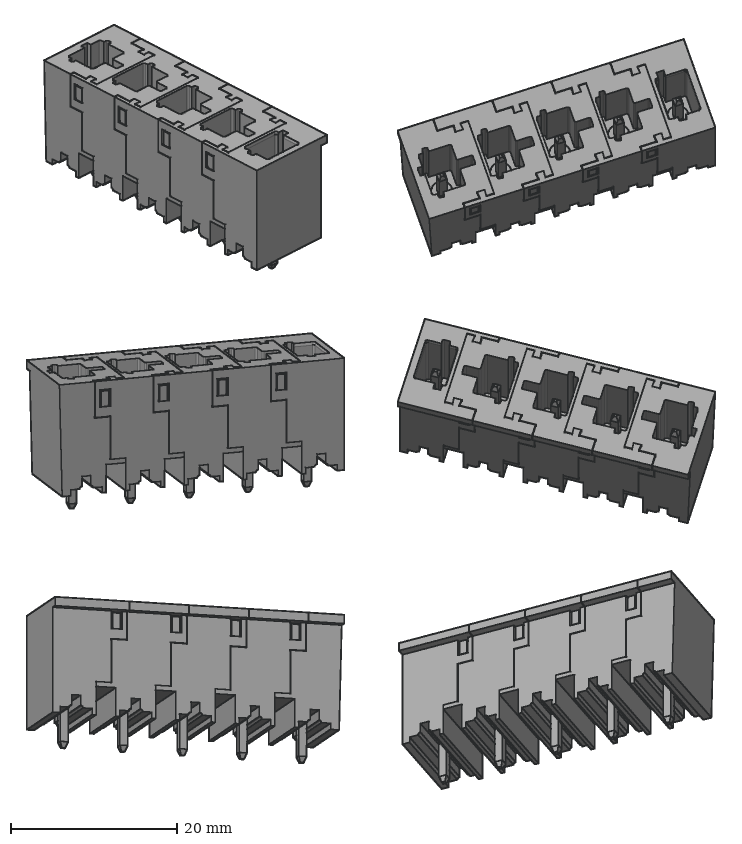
import cadquery as cq


POLES = 5
PITCH = 7.5
ROW_LENGTH = 36.4

HEIGHT = 14.0
HALF_DEPTH = 5.45
LIP_REACH = 1.0
LIP_BOTTOM = 12.9
BODY_LEFT = -2.5
BODY_RIGHT = BODY_LEFT + PITCH
LEG_RIGHT = 2.5
LEG_TOP = 3.5
END_LEFT_TOP = -3.45
END_LEFT_BOTTOM = -3.1
END_RIGHT = ROW_LENGTH + END_LEFT_TOP - (POLES - 1) * PITCH

FOOT_INNER = 2.0
FOOT_HEIGHT = 0.75
PIN_SLOT_WIDTH = 1.1
PIN_SLOT_TOP = 2.3
PIN_SLOT_ROUND = 0.3

FLAP_UPPER_LEFT = 1.12
FLAP_LOWER_LEFT = 3.1
FLAP_STEP = 9.5
FLAP_BOTTOM = 4.1
FLAP_INNER = 4.92
FLAP_GAP = 0.07
TAB_LEFT = 3.2
TAB_RIGHT = 4.0
TAB_FLARE = 0.08
TAB_INNER = 4.05

WINDOW_LEFT = 1.72
WINDOW_RIGHT = 3.08
WINDOW_BOTTOM = 10.75
NUB_SIDE_GAP = 0.2
NUB_TOP_GAP = 0.2
NUB_FACE = 5.36

FLOOR = 4.5
POCKET_HALF_WIDTH = 2.1
POCKET_HALF_DEPTH = 2.73
POCKET_ROUND = 0.25
KEY_ROUND = 0.2
KEY_REACH = 3.3
KEY_LEFT = -1.45
KEY_RIGHT = -0.75
SIDE_KEY_END = 4.1
SIDE_KEY_HALF_WIDTH = 0.6
FIRST_KEY_END = -2.7
FIRST_KEY_FRONT = 0.1
FIRST_KEY_BACK = 1.15
LAST_HALF_WIDTH = 2.04
LAST_BACK_KEY_LEFT = -1.55
LAST_BACK_KEY_RIGHT = -0.65
LAST_BACK_KEY_REACH = 3.45
LAST_FRONT_KEY_LEFT = -0.9
LAST_FRONT_KEY_RIGHT = 0.1
LEAD_IN_WIDTH = 0.1
LEAD_IN_DEPTH = 0.35
COLLAR_TOP = 6.0
COLLAR_BASE_RADIUS = 1.5
COLLAR_TOP_RADIUS = 1.3

PIN_WIDTH = 1.0
PIN_BOTTOM = -3.15
PIN_TOP = 12.1
PIN_FOOT_TIP_WIDTH = 0.45
PIN_HEAD_TIP_WIDTH = 0.35
PIN_TIP_LENGTH = 0.7


def box(x_min, x_max, y_min, y_max, z_min, z_max):
    size = (x_max - x_min, y_max - y_min, z_max - z_min)
    return cq.Workplane("XY").box(*size, centered=False).translate((x_min, y_min, z_min))


def extrude_across(profile, y_min, y_max):
    """Extrude a closed XZ outline from y_min to y_max."""
    return cq.Workplane("XZ", origin=(0, y_max, 0)).polyline(profile).close().extrude(y_max - y_min)


def both_sides(front):
    """A front feature together with its mirror image at the back."""
    return front.union(front.mirror("XZ"))


def shell(is_first, is_last):
    """Outer block with its legs and the lip along the top of the back face."""
    top_left, bottom_left = (END_LEFT_TOP, END_LEFT_BOTTOM) if is_first else (BODY_LEFT, BODY_LEFT)
    top_right, leg_right = (END_RIGHT, END_RIGHT) if is_last else (BODY_RIGHT, LEG_RIGHT)
    outline = [(bottom_left, 0), (leg_right, 0), (leg_right, LEG_TOP)]
    if not is_last:
        outline.append((top_right, LEG_TOP))
    outline += [(top_right, HEIGHT), (top_left, HEIGHT)]
    block = extrude_across(outline, -HALF_DEPTH, HALF_DEPTH + LIP_REACH)
    under_lip = box(END_LEFT_TOP, BODY_RIGHT, HALF_DEPTH, HALF_DEPTH + LIP_REACH, 0, LIP_BOTTOM)
    return block.cut(under_lip)


def underside_cut():
    """Recess between the feet and the round-mouthed slot that clears the pin."""
    y_end = HALF_DEPTH
    recess = box(-FOOT_INNER, FOOT_INNER, -y_end, y_end, 0, FOOT_HEIGHT)
    half_slot = PIN_SLOT_WIDTH / 2
    half_mouth = half_slot + PIN_SLOT_ROUND
    round_top = FOOT_HEIGHT + PIN_SLOT_ROUND
    slot = (
        cq.Workplane("XZ", origin=(0, y_end, 0))
        .moveTo(-half_mouth, FOOT_HEIGHT)
        .radiusArc((-half_slot, round_top), PIN_SLOT_ROUND)
        .lineTo(-half_slot, PIN_SLOT_TOP)
        .lineTo(half_slot, PIN_SLOT_TOP)
        .lineTo(half_slot, round_top)
        .radiusArc((half_mouth, FOOT_HEIGHT), PIN_SLOT_ROUND)
        .close()
        .extrude(2 * y_end)
    )
    return recess.union(slot)


def flap_pair(clearance):
    """Front and back flaps that lap over the previous housing, grown by a clearance for their seats."""
    upper_left = FLAP_UPPER_LEFT - clearance
    lower_left = FLAP_LOWER_LEFT - clearance
    step = FLAP_STEP - clearance
    inner = FLAP_INNER - clearance
    profile = [
        (upper_left, HEIGHT),
        (upper_left, step),
        (lower_left, step),
        (lower_left, FLAP_BOTTOM),
        (BODY_RIGHT, FLAP_BOTTOM),
        (BODY_RIGHT, HEIGHT),
    ]
    tab_outline = [
        (TAB_LEFT - clearance, -FLAP_INNER),
        (TAB_LEFT - TAB_FLARE - clearance, -TAB_INNER),
        (TAB_RIGHT + TAB_FLARE, -TAB_INNER),
        (TAB_RIGHT, -FLAP_INNER),
    ]
    tab = (
        cq.Workplane("XY", origin=(0, 0, FLAP_BOTTOM))
        .polyline(tab_outline)
        .close()
        .extrude(HEIGHT - FLAP_BOTTOM)
    )
    pair = both_sides(extrude_across(profile, -HALF_DEPTH, -inner).union(tab))
    lip_part = box(upper_left, BODY_RIGHT, HALF_DEPTH, HALF_DEPTH + LIP_REACH, LIP_BOTTOM, HEIGHT)
    return pair.union(lip_part)


def latch_windows():
    """Openings in the flaps, one at the front and one at the back."""
    return both_sides(box(WINDOW_LEFT, WINDOW_RIGHT, -HALF_DEPTH, -FLAP_INNER, WINDOW_BOTTOM, LIP_BOTTOM))


def latch_nubs():
    """Raised blocks on the flap seats that stand inside the windows of the next housing."""
    seat = FLAP_INNER - FLAP_GAP
    left = WINDOW_LEFT + NUB_SIDE_GAP
    right = WINDOW_RIGHT - NUB_SIDE_GAP
    return both_sides(box(left, right, -NUB_FACE, -seat, WINDOW_BOTTOM, LIP_BOTTOM - NUB_TOP_GAP))


def pocket_prism(x_min, x_max, y_min, y_max):
    return box(x_min, x_max, y_min, y_max, FLOOR, HEIGHT)


def pocket_outline(half_width, inset):
    """Rounded rectangle of the pocket, shrunk by an inset on every side."""
    width = 2 * (half_width - inset)
    depth = 2 * (POCKET_HALF_DEPTH - inset)
    return cq.Sketch().rect(width, depth).vertices().fillet(POCKET_ROUND)


def main_pocket(half_width, inset):
    outline = pocket_outline(half_width, inset)
    return cq.Workplane("XY", origin=(0, 0, FLOOR)).placeSketch(outline).extrude(HEIGHT - FLOOR)


def keyed_pocket(is_first):
    """Pocket with front, back and right keyways; the first housing has a left keyway as well."""
    keys = pocket_prism(KEY_LEFT, KEY_RIGHT, -KEY_REACH, KEY_REACH).edges("|Z").fillet(KEY_ROUND)
    side_key = pocket_prism(0, SIDE_KEY_END, -SIDE_KEY_HALF_WIDTH, SIDE_KEY_HALF_WIDTH)
    side_key = side_key.edges("|Z and >X").fillet(KEY_ROUND)
    side_key_corners = cq.selectors.BoxSelector(
        (POCKET_HALF_WIDTH - KEY_ROUND, -2 * SIDE_KEY_HALF_WIDTH, FLOOR),
        (POCKET_HALF_WIDTH + KEY_ROUND, 2 * SIDE_KEY_HALF_WIDTH, HEIGHT),
    )
    pocket = main_pocket(POCKET_HALF_WIDTH, 0).union(side_key)
    pocket = pocket.edges("|Z").edges(side_key_corners).fillet(KEY_ROUND).union(keys)
    if is_first:
        pocket = pocket.union(pocket_prism(FIRST_KEY_END, 0, FIRST_KEY_FRONT, FIRST_KEY_BACK))
    return pocket


def end_pocket():
    """Pocket of the last housing: two offset keyways and a lead-in around the mouth."""
    back_key = pocket_prism(LAST_BACK_KEY_LEFT, LAST_BACK_KEY_RIGHT, 0, LAST_BACK_KEY_REACH)
    front_key = pocket_prism(LAST_FRONT_KEY_LEFT, LAST_FRONT_KEY_RIGHT, -KEY_REACH, 0)
    front_key = front_key.edges("|Z and <Y").fillet(KEY_ROUND)
    pocket = main_pocket(LAST_HALF_WIDTH, LEAD_IN_WIDTH)
    mouth = pocket_outline(LAST_HALF_WIDTH, 0).moved(cq.Location(cq.Vector(0, 0, LEAD_IN_DEPTH)))
    lead_in = (
        cq.Workplane("XY", origin=(0, 0, HEIGHT - LEAD_IN_DEPTH))
        .placeSketch(pocket_outline(LAST_HALF_WIDTH, LEAD_IN_WIDTH), mouth)
        .loft()
    )
    return pocket.union(back_key).union(front_key).union(lead_in)


def collar():
    """Tapered collar around the pin on the pocket floor."""
    return (
        cq.Workplane("XY", origin=(0, 0, FLOOR))
        .circle(COLLAR_BASE_RADIUS)
        .workplane(offset=COLLAR_TOP - FLOOR)
        .circle(COLLAR_TOP_RADIUS)
        .loft(ruled=True)
    )


def make_housing(is_first, is_last):
    body = shell(is_first, is_last)
    if not is_last:
        body = body.cut(flap_pair(FLAP_GAP)).union(latch_nubs())
    if not is_first:
        flaps = flap_pair(0).cut(latch_windows())
        body = body.union(flaps.translate((-PITCH, 0, 0)))
    body = body.cut(underside_cut())
    body = body.cut(end_pocket() if is_last else keyed_pocket(is_first))
    body = body.union(collar())
    half_pin = PIN_WIDTH / 2
    pin_hole = box(-half_pin, half_pin, -half_pin, half_pin, 0, HEIGHT)
    return body.cut(pin_hole)


def make_pin():
    """Square pin with a tapered tip at both ends."""

    def tip(base_z, direction, end_width):
        return (
            cq.Workplane("XY", origin=(0, 0, base_z))
            .rect(PIN_WIDTH, PIN_WIDTH)
            .workplane(offset=direction * PIN_TIP_LENGTH)
            .rect(end_width, end_width)
            .loft(ruled=True)
        )

    half_pin = PIN_WIDTH / 2
    shank_bottom = PIN_BOTTOM + PIN_TIP_LENGTH
    shank_top = PIN_TOP - PIN_TIP_LENGTH
    shank = box(-half_pin, half_pin, -half_pin, half_pin, shank_bottom, shank_top)
    return shank.union(tip(shank_bottom, -1, PIN_FOOT_TIP_WIDTH)).union(tip(shank_top, 1, PIN_HEAD_TIP_WIDTH))


bodies = []
for pole in range(POLES):
    place = (pole * PITCH, 0, 0)
    housing = make_housing(is_first=pole == 0, is_last=pole == POLES - 1).translate(place)
    pin = make_pin().translate(place)
    bodies += [housing.val(), pin.val()]

result = cq.Compound.makeCompound(bodies)